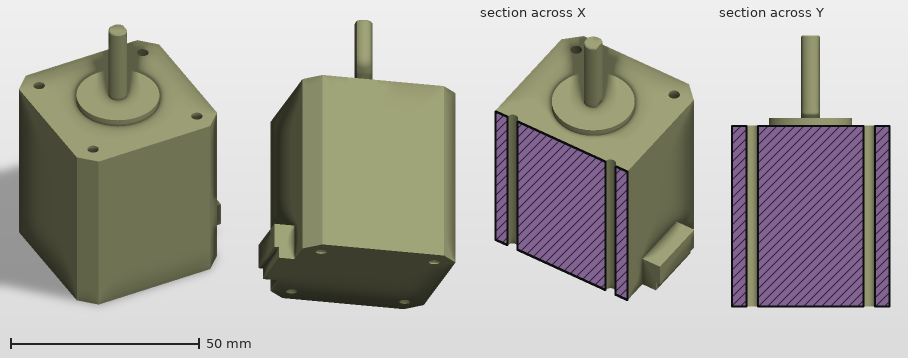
import cadquery as cq

can_side = 42.0
can_height = 48.0
corner_chamfer = 4.3

boss_diameter = 22.0
boss_height = 2.0
boss_top = can_height + boss_height

hole_diameter = 3.0
hole_spacing = 31.0

connector_width = 16.7
connector_reach = 5.55
connector_top = 9.5
ledge_reach = 4.3
ledge_height = 2.95

overall_height = 72.0
shaft_diameter = 5.0
shaft_flat_offset = 2.0
shaft_tip_chamfer = 0.3
shaft_length = overall_height - boss_top


def side_block(reach, bottom, top):
    """Block standing out from the +Y side of the can between two heights."""
    return (
        cq.Workplane("XY")
        .box(connector_width, reach, top - bottom, centered=(True, False, False))
        .translate((0, can_side / 2, bottom))
    )


def make_shaft():
    """D-shaped shaft standing on the boss, with a chamfered tip."""
    round_shaft = (
        cq.Workplane("XY")
        .workplane(offset=boss_top)
        .circle(shaft_diameter / 2)
        .extrude(shaft_length)
        .faces(">Z")
        .chamfer(shaft_tip_chamfer)
    )
    flat_cutter = (
        cq.Workplane("XY")
        .box(shaft_diameter, shaft_diameter, shaft_length, centered=(True, False, False))
        .translate((0, shaft_flat_offset, boss_top))
    )
    return round_shaft.cut(flat_cutter)


def make_motor():
    """Can with pilot boss, output shaft, connector ledge and four mounting holes."""
    can = (
        cq.Workplane("XY")
        .rect(can_side, can_side)
        .extrude(can_height)
        .edges("|Z")
        .chamfer(corner_chamfer)
    )
    boss = (
        cq.Workplane("XY")
        .workplane(offset=can_height)
        .circle(boss_diameter / 2)
        .extrude(boss_height)
    )
    holes = (
        cq.Workplane("XY")
        .rect(hole_spacing, hole_spacing, forConstruction=True)
        .vertices()
        .circle(hole_diameter / 2)
        .extrude(can_height)
    )
    ledge = side_block(ledge_reach, 0, ledge_height)
    return can.union(boss).union(make_shaft()).union(ledge).cut(holes)


def make_connector():
    """Plain block on the ledge, against the side of the can."""
    return side_block(connector_reach, ledge_height, connector_top)


motor = make_motor()
connector = make_connector()

result = cq.Compound.makeCompound([motor.solids().val(), connector.solids().val()])